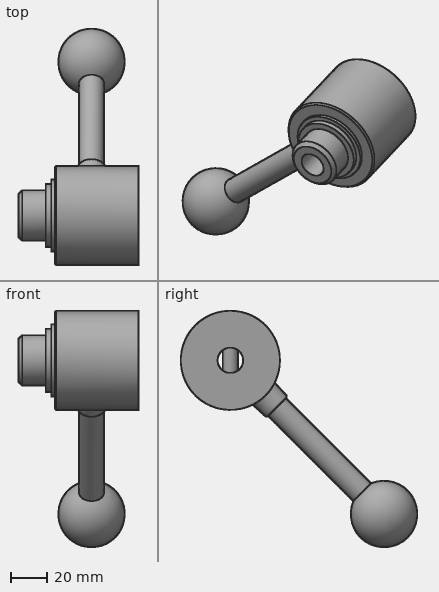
import cadquery as cq
import math

body_dia = 55.0
body_chamfer = 0.9
overall_length = 66.5
spigot_dia = 28.0
spigot_length = 15.0
spigot_chamfer = 2.1
small_step_dia = 35.1
small_step_width = 3.0
large_step_dia = 40.0
large_step_width = 2.0
bore_dia = 14.0
pin_dia = 8.5
pin_embed = 1.3

lever_x = 40.4
lever_angle = 45
rod_dia = 14.0
ball_dia = 36.9
ball_drop = 84.9
sleeve_end_dia = 16.5
sleeve_base_dia = 17.5
sleeve_reach = 36.5
sleeve_fillet = 1.2
sleeve_embed = 3.9

small_step_x = spigot_length
large_step_x = small_step_x + small_step_width
body_x = large_step_x + large_step_width
pin_x = lever_x
lever_length = ball_drop / math.sin(math.radians(lever_angle))
sleeve_start = body_dia / 2 - sleeve_embed


def disc(start, end, diameter):
    """Cylinder on the X axis between two X positions."""
    return cq.Workplane("YZ", origin=(start, 0, 0)).circle(diameter / 2).extrude(end - start)


def make_hub():
    spigot = disc(0, body_x, spigot_dia).faces("<X").chamfer(spigot_chamfer)
    small_step = disc(small_step_x, body_x, small_step_dia)
    large_step = disc(large_step_x, body_x, large_step_dia)
    body = disc(body_x, overall_length, body_dia).faces("<X").chamfer(body_chamfer)
    return body.union(large_step).union(small_step).union(spigot)


def make_lever():
    """Rod, tapered sleeve and ball, built along Z and then tilted toward +Y and -Z."""
    rod = cq.Workplane("XY").circle(rod_dia / 2).extrude(lever_length)
    sleeve = (
        cq.Workplane("XY", origin=(0, 0, sleeve_start))
        .circle(sleeve_base_dia / 2)
        .workplane(offset=sleeve_reach - sleeve_start)
        .circle(sleeve_end_dia / 2)
        .loft()
        .faces(">Z")
        .edges()
        .fillet(sleeve_fillet)
    )
    ball = cq.Workplane("XY").sphere(ball_dia / 2).translate((0, 0, lever_length))
    lever = rod.union(sleeve).union(ball)
    tilt = -(90 + lever_angle)
    return lever.rotate((0, 0, 0), (1, 0, 0), tilt).translate((lever_x, 0, 0))


def make_pin():
    """Vertical pin that crosses the bore and ends inside the body."""
    half_length = bore_dia / 2 + pin_embed
    section = cq.Workplane("XY", origin=(pin_x, 0, 0)).circle(pin_dia / 2)
    return section.extrude(half_length, both=True)


bore = disc(0, overall_length, bore_dia)
result = make_hub().union(make_lever()).cut(bore).union(make_pin())